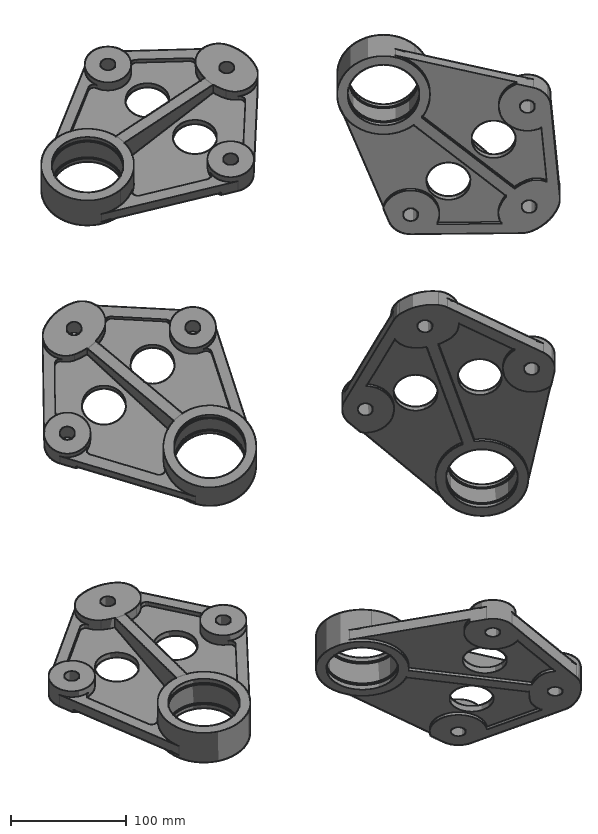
import cadquery as cq
import math

RING_TOP = 34.0
BOSS_TOP = 20.2
RAIL_TOP = 13.5
WEB_TOP = 9.0
WEB_BOTTOM = 3.0

RING_RADIUS = 40.0
BORE_DIAMETER = 62.0
GROOVE_DIAMETER = 65.0
GROOVE_WIDTH = 2.0
GROOVE_INSET = 4.6

BOSS_RADIUS = RING_RADIUS / 2
BOSS_HOLE_DIAMETER = 13.0
SIDE_X = 75.0
SIDE_Y = 99.7
OVAL_Y = 169.7
OVAL_HALF_LENGTH = 22.0
OVAL_ARC_OFFSET = 9.7

RAIL_WIDTH = 10.0
POCKET_FILLET = 5.0
SIDE_PAD_RADIUS = 24.8
LIGHTENING_DIAMETER = 38.0
LIGHTENING_X = 29.0
LIGHTENING_Y = 102.0
RIB_WIDTH = 10.5

SIDES = (-1, 1)
RING = (0, 0, RING_RADIUS)
SIDE_BOSS = (SIDE_X, SIDE_Y, BOSS_RADIUS)
OVAL_END = (OVAL_ARC_OFFSET, OVAL_Y, BOSS_RADIUS)


def cylinder(x, y, radius, bottom, top):
    return cq.Workplane("XY", origin=(x, y, bottom)).circle(radius).extrude(top - bottom)


def prism(points, bottom, top):
    return cq.Workplane("XY", origin=(0, 0, bottom)).polyline(points).close().extrude(top - bottom)


def tangent_normal(start, end):
    """Unit normal of the tangent line on the right of the path between two circles."""
    dx = end[0] - start[0]
    dy = end[1] - start[1]
    angle = math.atan2(dy, dx) - math.acos((start[2] - end[2]) / math.hypot(dx, dy))
    return math.cos(angle), math.sin(angle)


LOWER_NORMAL = tangent_normal(RING, SIDE_BOSS)
UPPER_NORMAL = tangent_normal(SIDE_BOSS, OVAL_END)


def on_circle(circle, normal):
    x, y, radius = circle
    return x + radius * normal[0], y + radius * normal[1]


def line_crossing(inset):
    """Corners of the diamond formed by the rail lines, moved inward by inset."""
    (a, b), (c, d) = LOWER_NORMAL, UPPER_NORMAL
    lower = RING_RADIUS - inset
    upper = c * SIDE_X + d * SIDE_Y + BOSS_RADIUS - inset
    det = a * d - b * c
    side = ((lower * d - upper * b) / det, (a * upper - c * lower) / det)
    return (0, lower / b), side, (0, upper / d)


def oval(bottom, top):
    """Oval of two small end arcs joined tangentially by two large arcs."""
    c, h, r = OVAL_ARC_OFFSET, OVAL_HALF_LENGTH, BOSS_RADIUS
    large_radius = (c**2 + h**2 - r**2) / (2 * (h - r))
    stretch = large_radius / (large_radius - r)
    join_x = c * stretch
    join_y = (large_radius - h) * (stretch - 1)
    return (
        cq.Workplane("XY", origin=(0, OVAL_Y, bottom))
        .moveTo(join_x, -join_y)
        .threePointArc((c + r, 0), (join_x, join_y))
        .threePointArc((0, h), (-join_x, join_y))
        .threePointArc((-c - r, 0), (-join_x, -join_y))
        .threePointArc((0, -h), (join_x, -join_y))
        .close()
        .extrude(top - bottom)
    )


def bosses(bottom, ring_top, boss_top, side_radius=BOSS_RADIUS):
    body = cylinder(0, 0, RING_RADIUS, bottom, ring_top).union(oval(bottom, boss_top))
    for side in SIDES:
        body = body.union(cylinder(side * SIDE_X, SIDE_Y, side_radius, bottom, boss_top))
    return body


def plate():
    """Flat body bounded by the tangent lines of the bosses."""
    right = [
        on_circle(RING, LOWER_NORMAL),
        on_circle(SIDE_BOSS, LOWER_NORMAL),
        on_circle(SIDE_BOSS, UPPER_NORMAL),
        on_circle(OVAL_END, UPPER_NORMAL),
    ]
    left = [(-x, y) for x, y in reversed(right)]
    return prism(right + left, 0, RAIL_TOP)


def on_rail(edge):
    """True where an edge touches the inner face of a rail."""
    tolerance = 0.02
    point = edge.Center()
    x, y = abs(point.x), point.y
    lower_gap = RING_RADIUS - RAIL_WIDTH - (x * LOWER_NORMAL[0] + y * LOWER_NORMAL[1])
    upper_reach = (x - SIDE_X) * UPPER_NORMAL[0] + (y - SIDE_Y) * UPPER_NORMAL[1]
    upper_gap = BOSS_RADIUS - RAIL_WIDTH - upper_reach
    return min(lower_gap, upper_gap) < tolerance


def top_pocket():
    """Recess inside the rails, rounded where the rails meet the bosses."""
    bottom, side, top = line_crossing(RAIL_WIDTH)
    diamond = prism([bottom, side, top, (-side[0], side[1])], WEB_TOP, RAIL_TOP)
    pieces = diamond.cut(bosses(WEB_TOP, RAIL_TOP, RAIL_TOP))
    pocket = pieces.solids(cq.NearestToPointSelector((0, SIDE_Y, WEB_TOP)))
    return pocket.edges("|Z").filter(on_rail).fillet(POCKET_FILLET)


def underside_pocket():
    """Recess bounded by the upper rails and open across the lower rails."""
    _, side, top = line_crossing(RAIL_WIDTH)
    left_side = (-side[0], side[1])
    outline = [(-side[0], -RING_RADIUS), (side[0], -RING_RADIUS), side, top, left_side]
    recess = prism(outline, 0, WEB_BOTTOM)
    return recess.cut(bosses(0, WEB_BOTTOM, WEB_BOTTOM, SIDE_PAD_RADIUS))


def rib():
    """Full-depth rib sloping from the oval boss up to the ring, its ends buried in both."""
    rib_start = (GROOVE_DIAMETER / 2 + RING_RADIUS) / 2
    oval_face = OVAL_Y - OVAL_HALF_LENGTH
    profile = [
        (rib_start, 0),
        (OVAL_Y, 0),
        (OVAL_Y, BOSS_TOP),
        (oval_face, BOSS_TOP),
        (RING_RADIUS, RING_TOP),
        (rib_start, RING_TOP),
    ]
    return cq.Workplane("YZ").polyline(profile).close().extrude(RIB_WIDTH / 2, both=True)


def holes():
    """Ring bore with its grooves, boss holes and lightening holes."""
    cuts = cylinder(0, 0, BORE_DIAMETER / 2, 0, RING_TOP)
    for groove_bottom in (GROOVE_INSET, RING_TOP - GROOVE_INSET - GROOVE_WIDTH):
        groove_top = groove_bottom + GROOVE_WIDTH
        cuts = cuts.union(cylinder(0, 0, GROOVE_DIAMETER / 2, groove_bottom, groove_top))
    cuts = cuts.union(cylinder(0, OVAL_Y, BOSS_HOLE_DIAMETER / 2, 0, BOSS_TOP))
    for side in SIDES:
        cuts = cuts.union(cylinder(side * SIDE_X, SIDE_Y, BOSS_HOLE_DIAMETER / 2, 0, BOSS_TOP))
        lightening_x = side * LIGHTENING_X
        cuts = cuts.union(cylinder(lightening_x, LIGHTENING_Y, LIGHTENING_DIAMETER / 2, 0, RAIL_TOP))
    return cuts


result = (
    plate()
    .cut(top_pocket())
    .cut(underside_pocket())
    .union(bosses(0, RING_TOP, BOSS_TOP))
    .union(rib())
    .cut(holes())
)